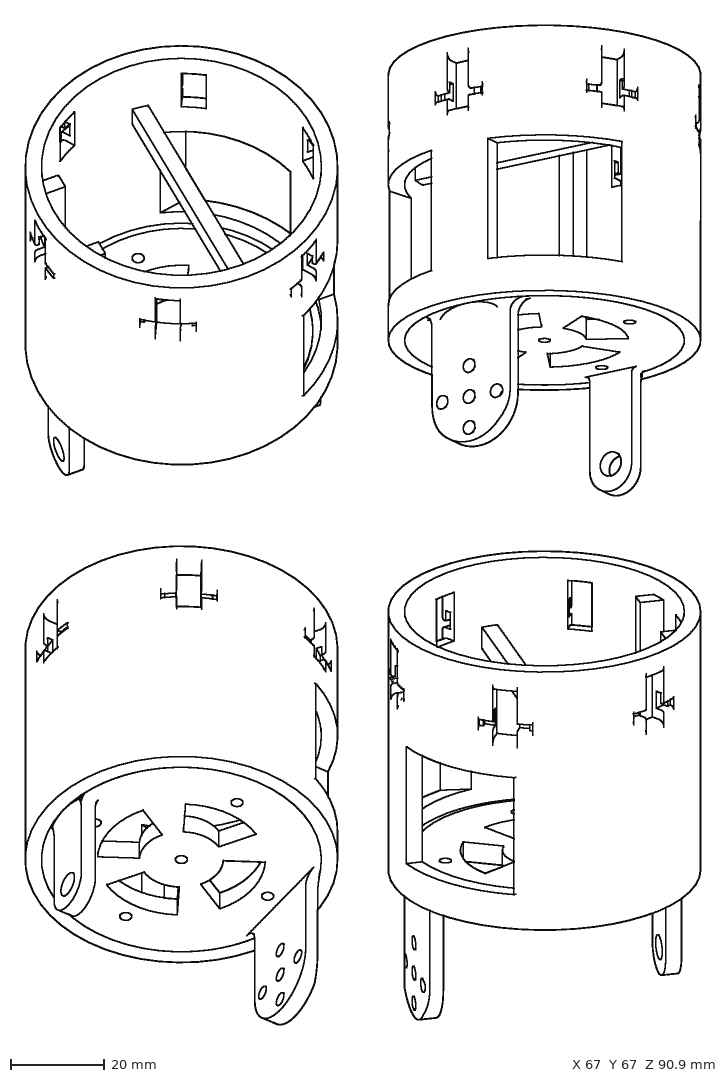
import cadquery as cq
import math

outer_diameter = 67.0
outer_radius = outer_diameter / 2
bore_diameter = 60.0
bore_radius = bore_diameter / 2
housing_height = 60.0
wall = outer_radius - bore_radius
margin = 0.9

bar_width = 3.5
bar_height = 5.0
bar_front_y = 2.3
bar_top = 45.1
post_width = 3.5
post_spacing = 20.4
post_back_y = -23.5
post_top = 56.1

window_bottom = 8.0
window_top = 35.2
strip_half_width = 7.3
window_front_y = 7.45
window_front_x = 28.6
jamb_angle = 10.0

latch_count = 6
latch_start_angle = 30.0
slot_width = 5.4
slot_bottom = 43.5
slot_top = 54.8
slot_flare = 1.4
groove_bottom = 45.9
groove_top = 47.4
groove_flare = 0.68
groove_reach = 3.4
groove_depth = 1.0
channel_reach = 2.45
channel_depth = 2.3
channel_top = 49.8
plain_groove_angle = 270.0

plate_thickness = 4.5
plate_edge_thickness = 4.1
plate_step_radius = 28.2
plate_hole_diameter = 2.5
plate_hole_circle_radius = 22.0
vent_inner_radius = 9.0
vent_outer_radius = 18.0
vent_half_angle = math.radians(30)
quarter_turns = [0, 90, 180, 270]

lug_outer_y = 29.0
lug_hole_z = -20.8
outer_root_height = 2.8
wide_lug_width = 20.2
wide_lug_thickness = 3.8
wide_side_fillet = 3.2
horn_hole_diameter = 3.0
horn_hole_circle_radius = 7.0
narrow_lug_width = 10.8
narrow_lug_thickness = 3.5
narrow_lug_end_z = -21.5
narrow_side_fillet = 1.2
pivot_hole_diameter = 5.4


def disc(radius, bottom, top):
    return cq.Workplane("XY").workplane(offset=bottom).circle(radius).extrude(top - bottom)


def block(x_range, y_range, z_range):
    size = [high - low for low, high in (x_range, y_range, z_range)]
    corner = (x_range[0], y_range[0], z_range[0])
    return cq.Workplane("XY").box(*size, centered=False).translate(corner)


def wall_ring(inner_radius, bottom, top, flare):
    """Ring that cuts the tube wall from outside, with a rounded, widening mouth."""
    outside = outer_radius + margin
    outline = cq.Workplane("XZ").moveTo(inner_radius, bottom)
    if flare:
        sag = flare * (1 - math.sqrt(0.5))
        throat = outer_radius - flare
        outline = (
            outline.lineTo(throat, bottom)
            .threePointArc((outer_radius - sag, bottom - sag), (outer_radius, bottom - flare))
            .lineTo(outside, bottom - flare)
            .lineTo(outside, top + flare)
            .lineTo(outer_radius, top + flare)
            .threePointArc((outer_radius - sag, top + sag), (throat, top))
        )
    else:
        outline = outline.lineTo(outside, bottom).lineTo(outside, top)
    return outline.lineTo(inner_radius, top).close().revolve(360, (0, 0, 0), (0, 1, 0))


def wall_segment(ring, side_start, side_end):
    """Part of a ring near +X, between two sideways (Y) positions."""
    window = block((0, outer_radius + 2 * margin), (side_start, side_end), (0, housing_height))
    return ring.intersect(window)


def latch_cutter(plain_groove):
    """Vertical slot, a groove on each side of it and the channel hidden inside the wall."""
    half_slot = slot_width / 2
    groove_end = half_slot + groove_reach
    channel_end = half_slot + channel_reach
    slot_ring = wall_ring(bore_radius - margin, slot_bottom, slot_top, slot_flare)
    groove_floor = outer_radius - groove_depth
    flared_ring = wall_ring(groove_floor, groove_bottom, groove_top, groove_flare)
    plain_ring = wall_ring(groove_floor, groove_bottom, groove_top, 0)
    left_ring = plain_ring if plain_groove else flared_ring
    channel_ring = disc(groove_floor, groove_bottom, channel_top).cut(
        disc(outer_radius - channel_depth, groove_bottom, channel_top)
    )
    return (
        wall_segment(slot_ring, -half_slot, half_slot)
        .union(wall_segment(flared_ring, -groove_end, 0))
        .union(wall_segment(left_ring, 0, groove_end))
        .union(wall_segment(channel_ring, -channel_end, channel_end))
    )


def window_cutter():
    """Opening on the +X side; its outer jamb leans away from the Y direction."""
    back_y = outer_radius + margin
    back_x = window_front_x + (back_y - window_front_y) * math.tan(math.radians(jamb_angle))
    return (
        cq.Workplane("XY")
        .workplane(offset=window_bottom)
        .moveTo(strip_half_width, window_front_y)
        .lineTo(window_front_x, window_front_y)
        .lineTo(back_x, back_y)
        .lineTo(strip_half_width, back_y)
        .close()
        .extrude(window_top - window_bottom)
    )


def make_housing():
    tube = disc(outer_radius, 0, housing_height).cut(disc(bore_radius, 0, housing_height))
    right_window = window_cutter()
    tube = tube.cut(right_window).cut(right_window.mirror("YZ"))

    mid_wall_disc = disc(bore_radius + wall / 2, 0, housing_height)
    inside = block(
        (-outer_radius, outer_radius),
        (bar_front_y, bar_front_y + bar_width),
        (bar_top - bar_height, bar_top),
    )
    for post_x in (-post_spacing / 2, post_spacing / 2):
        inside = inside.union(
            block(
                (post_x - post_width / 2, post_x + post_width / 2),
                (-outer_radius, post_back_y),
                (plate_thickness, post_top),
            )
        )
    tube = tube.union(inside.intersect(mid_wall_disc))

    for index in range(latch_count):
        angle = latch_start_angle + index * 360 / latch_count
        cutter = latch_cutter(plain_groove=angle == plain_groove_angle)
        tube = tube.cut(cutter.rotate((0, 0, 0), (0, 0, 1), angle))
    return tube


def vent_cutter():
    """Ring sector centred on +X."""
    cosine = math.cos(vent_half_angle)
    sine = math.sin(vent_half_angle)
    return (
        cq.Workplane("XY")
        .moveTo(vent_inner_radius * cosine, -vent_inner_radius * sine)
        .lineTo(vent_outer_radius * cosine, -vent_outer_radius * sine)
        .threePointArc((vent_outer_radius, 0), (vent_outer_radius * cosine, vent_outer_radius * sine))
        .lineTo(vent_inner_radius * cosine, vent_inner_radius * sine)
        .threePointArc((vent_inner_radius, 0), (vent_inner_radius * cosine, -vent_inner_radius * sine))
        .close()
        .extrude(plate_thickness)
    )


def make_plate():
    plate = disc(bore_radius, 0, plate_edge_thickness)
    plate = plate.union(disc(plate_step_radius, 0, plate_thickness))
    for angle in quarter_turns:
        plate = plate.cut(vent_cutter().rotate((0, 0, 0), (0, 0, 1), angle))
    holes = (
        cq.Workplane("XY")
        .polarArray(plate_hole_circle_radius, 0, 360, len(quarter_turns))
        .circle(plate_hole_diameter / 2)
        .extrude(plate_thickness)
    )
    return plate.cut(holes).cut(disc(plate_hole_diameter / 2, 0, plate_thickness))


def make_lug(width, thickness, end_z, side_fillet):
    """Lug on the -Y side: a round-ended tab with filleted roots, trimmed to the bore radius."""
    half = width / 2
    side_sag = side_fillet * (1 - math.sqrt(0.5))
    tab = (
        cq.Workplane("XZ", origin=(0, thickness - lug_outer_y, 0))
        .moveTo(-half - side_fillet, 0)
        .threePointArc((-half - side_sag, -side_sag), (-half, -side_fillet))
        .lineTo(-half, end_z)
        .threePointArc((0, end_z - half), (half, end_z))
        .lineTo(half, -side_fillet)
        .threePointArc((half + side_sag, -side_sag), (half + side_fillet, 0))
        .close()
        .extrude(thickness)
    )
    root_reach = bore_radius - lug_outer_y
    root_radius = (root_reach**2 + outer_root_height**2) / (2 * root_reach)
    root_middle = root_radius - math.sqrt(root_radius**2 - (outer_root_height / 2) ** 2)
    outer_root = (
        cq.Workplane("YZ")
        .moveTo(-lug_outer_y, -outer_root_height)
        .threePointArc((-lug_outer_y - root_middle, -outer_root_height / 2), (-bore_radius, 0))
        .lineTo(-lug_outer_y, 0)
        .close()
        .extrude(half, both=True)
    )
    return tab.union(outer_root).intersect(disc(bore_radius, end_z - width, 0))


def lug_hole(diameter, x, z):
    return (
        cq.Workplane("XZ", origin=(x, 0, z))
        .circle(diameter / 2)
        .extrude(bore_radius)
    )


def make_narrow_lug():
    lug = make_lug(narrow_lug_width, narrow_lug_thickness, narrow_lug_end_z, narrow_side_fillet)
    return lug.cut(lug_hole(pivot_hole_diameter, 0, lug_hole_z))


def make_wide_lug():
    lug = make_lug(wide_lug_width, wide_lug_thickness, lug_hole_z, wide_side_fillet)
    lug = lug.cut(lug_hole(horn_hole_diameter, 0, lug_hole_z))
    for angle in quarter_turns:
        x = horn_hole_circle_radius * math.cos(math.radians(angle))
        z = lug_hole_z + horn_hole_circle_radius * math.sin(math.radians(angle))
        lug = lug.cut(lug_hole(horn_hole_diameter, x, z))
    return lug.mirror("XZ")


housing = make_housing()
base = make_plate().union(make_narrow_lug()).union(make_wide_lug())

result = cq.Compound.makeCompound([housing.solids().val(), base.solids().val()])